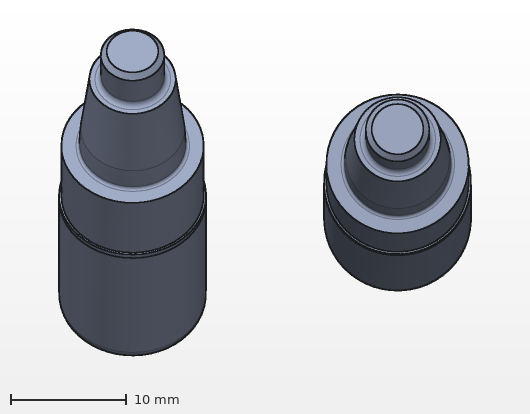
import cadquery as cq
import math

total_height = 36.8

body_radius = 12.7 / 2
housing_height = 15.27
bottom_fillet = 1.5

flange_height = 0.5
neck_radius = 12.3 / 2
neck_top = 23.07
nose_base_radius = 4.6
nose_base_fillet = 0.3
taper_angle = math.radians(6.0)
taper_bottom = 25.55
nose_top = 32.8
tip_radius = 5.5 / 2
tip_base_fillet = 0.5
tip_chamfer = 0.5

flare_bottom = neck_top + nose_base_fillet
flare_radius = (taper_bottom - flare_bottom) / math.sin(taper_angle)


def flare_radius_at(angle):
    """Nose radius where the flare has turned inward by the given angle."""
    return nose_base_radius - flare_radius * (1 - math.cos(angle))


def flare_height_at(angle):
    """Height where the flare has turned inward by the given angle."""
    return flare_bottom + flare_radius * math.sin(angle)


def make_housing():
    """Plain cylinder with its bottom edge rounded."""
    cylinder = cq.Workplane("XY").circle(body_radius).extrude(housing_height)
    return cylinder.faces("<Z").edges().fillet(bottom_fillet)


def make_plug():
    """Turned plug resting on the housing, revolved about the Z axis."""
    flange_top = housing_height + flange_height
    taper_bottom_radius = flare_radius_at(taper_angle)
    nose_top_radius = taper_bottom_radius - (nose_top - taper_bottom) * math.tan(taper_angle)
    fillet_midpoint = 1 - math.sqrt(0.5)

    profile = (
        cq.Workplane("XZ")
        .moveTo(0, housing_height)
        .lineTo(body_radius, housing_height)
        .lineTo(body_radius, flange_top)
        .lineTo(neck_radius, flange_top)
        .lineTo(neck_radius, neck_top)
        .lineTo(nose_base_radius + nose_base_fillet, neck_top)
        .threePointArc(
            (
                nose_base_radius + nose_base_fillet * fillet_midpoint,
                neck_top + nose_base_fillet * fillet_midpoint,
            ),
            (nose_base_radius, flare_bottom),
        )
        .threePointArc(
            (flare_radius_at(taper_angle / 2), flare_height_at(taper_angle / 2)),
            (taper_bottom_radius, taper_bottom),
        )
        .lineTo(nose_top_radius, nose_top)
        .lineTo(tip_radius + tip_base_fillet, nose_top)
        .threePointArc(
            (
                tip_radius + tip_base_fillet * fillet_midpoint,
                nose_top + tip_base_fillet * fillet_midpoint,
            ),
            (tip_radius, nose_top + tip_base_fillet),
        )
        .lineTo(tip_radius, total_height - tip_chamfer)
        .lineTo(tip_radius - tip_chamfer, total_height)
        .lineTo(0, total_height)
        .close()
    )
    return profile.revolve(360, (0, 0, 0), (0, 1, 0))


housing = make_housing()
plug = make_plug()

result = cq.Compound.makeCompound([housing.val(), plug.val()])